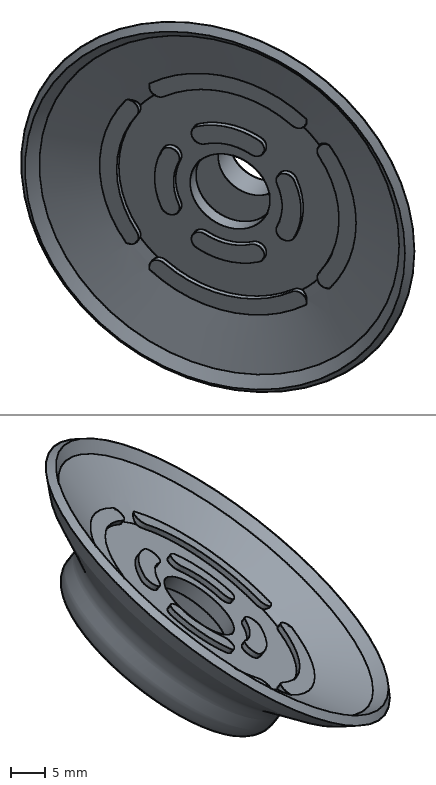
import cadquery as cq
import math


total_height = 18.0
rim_radius = 31.06
lip_radius = 30.0
rim_height = rim_radius - lip_radius
flare_radius = 28.5
flare_height = rim_height + rim_radius - flare_radius
neck_radius = 19.1
neck_start = 10.75
neck_blend = 3.0
shoulder_height = 15.75
shoulder_fillet = 3.0

boss_radius = 6.3
bore_radius = 5.22
floor_hole_radius = 6.3

mouth_radius = 28.4
mouth_height = lip_radius - mouth_radius
floor_radius = 18.18
floor_height = 5.65

floor_thickness = 2.2
cavity_start = floor_height + floor_thickness
cavity_end = 13.65
cavity_radius = 17.0

pad_count = 4
pad_width = 3.0
pad_height = 0.82
pad_root = 0.5
inner_pad_radius = 10.07
inner_pad_half_angle = 25.0
outer_pad_radius = 19.05
outer_pad_half_angle = 35.0


def polar(radius, angle):
    """Sketch point at a radius and an angle in degrees."""
    return radius * math.cos(math.radians(angle)), radius * math.sin(math.radians(angle))


def cylinder(radius, start, end):
    """Solid disc about the Y axis between two heights."""
    plane = cq.Workplane("XZ", origin=(0, start, 0))
    return plane.circle(radius).extrude(start - end)


def make_bowl():
    """Revolve the solid between the outer skin and the inside of the bowl."""
    blend_center = (neck_radius + neck_blend, neck_start)
    inward = flare_radius - blend_center[0]
    upward = blend_center[1] - flare_height
    slope = math.atan2(upward, inward) - math.asin(neck_blend / math.hypot(inward, upward))
    blend_sweep = math.pi / 2 - slope

    def blend_point(angle):
        return (blend_center[0] - neck_blend * math.cos(angle),
                blend_center[1] - neck_blend * math.sin(angle))

    fillet_center = (neck_radius - shoulder_fillet, shoulder_height - shoulder_fillet)
    fillet_offset = polar(shoulder_fillet, 45)
    fillet_middle = (fillet_center[0] + fillet_offset[0], fillet_center[1] + fillet_offset[1])

    profile = (
        cq.Workplane("XY")
        .moveTo(0, floor_height)
        .lineTo(floor_radius, floor_height)
        .lineTo(mouth_radius, mouth_height)
        .lineTo(lip_radius, 0)
        .lineTo(rim_radius, rim_height)
        .lineTo(flare_radius, flare_height)
        .lineTo(*blend_point(blend_sweep))
        .threePointArc(blend_point(blend_sweep / 2), (neck_radius, neck_start))
        .lineTo(neck_radius, fillet_center[1])
        .threePointArc(fillet_middle, (fillet_center[0], shoulder_height))
        .lineTo(0, shoulder_height)
        .close()
    )
    return profile.revolve(360, (0, 0, 0), (0, 1, 0))


def make_pad(radius, half_angle):
    """Round-ended arc pad centred on +X, raised from the bowl floor."""
    inner = radius - pad_width / 2
    outer = radius + pad_width / 2
    end_x, end_z = polar(radius, half_angle)
    tip_x, tip_z = polar(pad_width / 2, half_angle + 90)
    upper_tip = (end_x + tip_x, end_z + tip_z)
    lower_tip = (upper_tip[0], -upper_tip[1])
    return (
        cq.Workplane("XZ", origin=(0, floor_height + pad_root, 0))
        .moveTo(*polar(outer, -half_angle))
        .threePointArc((outer, 0), polar(outer, half_angle))
        .threePointArc(upper_tip, polar(inner, half_angle))
        .threePointArc((inner, 0), polar(inner, -half_angle))
        .threePointArc(lower_tip, polar(outer, -half_angle))
        .close()
        .extrude(pad_root + pad_height)
    )


def add_pad_ring(body, radius, half_angle):
    """Join a ring of equally spaced pads to the bowl floor."""
    pad = make_pad(radius, half_angle)
    for index in range(pad_count):
        angle = index * 360 / pad_count
        body = body.union(pad.rotate((0, 0, 0), (0, 1, 0), angle))
    return body


result = make_bowl()
result = result.union(cylinder(boss_radius, cavity_end, total_height))
result = result.cut(cylinder(cavity_radius, cavity_start, cavity_end))
result = result.cut(cylinder(floor_hole_radius, 0, cavity_start))
result = result.cut(cylinder(bore_radius, cavity_end, total_height))
result = add_pad_ring(result, inner_pad_radius, inner_pad_half_angle)
result = add_pad_ring(result, outer_pad_radius, outer_pad_half_angle)